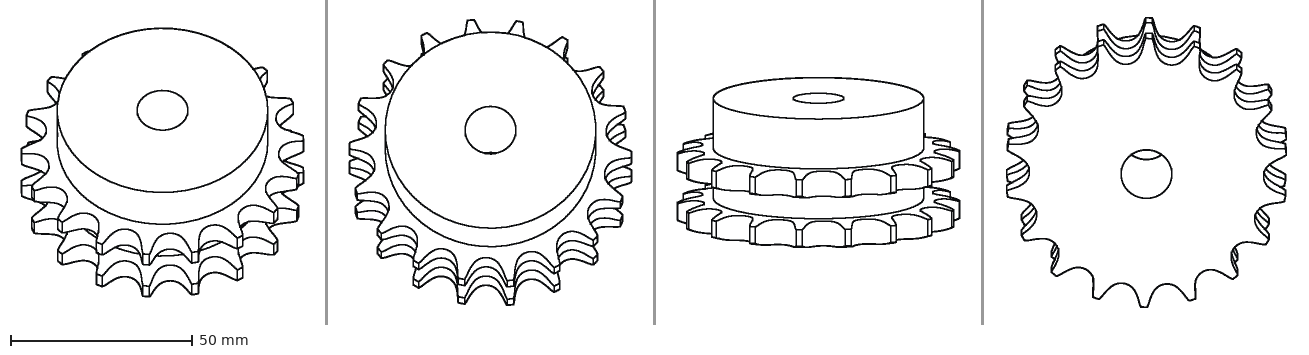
import cadquery as cq
import math


tooth_count = 18
chain_pitch = 12.7
roller_diameter = 8.5
outer_radius = 38.9
disc_thickness = 7.0
strand_spacing = 2 * disc_thickness
hub_diameter = 58.0
hub_height = 35.0
bore_diameter = 14.0
relief_start_radius = 33.1
relief_depth = 1.2
cutter_overrun = 0.8

tooth_step = 2 * math.pi / tooth_count
pitch_radius = chain_pitch / 2 / math.sin(tooth_step / 2)
seating_radius = 0.5025 * roller_diameter
working_offset = 0.8 * roller_diameter
working_radius = working_offset + seating_radius
topping_offset = 1.4 * roller_diameter
seating_end_angle = math.radians(35 + 60 / tooth_count)
working_arc_angle = math.radians(18 - 56 / tooth_count)
flank_angle = seating_end_angle - working_arc_angle


def polar(center, radius, angle):
    """Point at a given distance and angle from a center."""
    return (center[0] + radius * math.cos(angle), center[1] + radius * math.sin(angle))


def half_gap_points():
    """Right half of a tooth gap centered on +Y, from the gap bottom out to the tooth tip."""
    roller_center = (0, pitch_radius)
    bottom = (0, pitch_radius - seating_radius)
    seating_end = polar(roller_center, seating_radius, -seating_end_angle)

    working_center = polar(roller_center, -working_offset, -seating_end_angle)
    working_mid_angle = (seating_end_angle + flank_angle) / 2
    working_mid = polar(working_center, working_radius, -working_mid_angle)
    working_end = polar(working_center, working_radius, -flank_angle)

    topping_center = polar(roller_center, topping_offset, -tooth_step / 2)
    topping_radius = (topping_center[0] - working_end[0]) * math.cos(flank_angle)
    topping_radius -= (topping_center[1] - working_end[1]) * math.sin(flank_angle)
    start_angle = math.pi - flank_angle
    topping_start = polar(topping_center, topping_radius, start_angle)

    center_distance = math.hypot(*topping_center)
    toward_axis = math.pi + math.atan2(topping_center[1], topping_center[0])
    tip_cosine = center_distance**2 + topping_radius**2 - outer_radius**2
    tip_cosine /= 2 * center_distance * topping_radius
    tip_angle = toward_axis - math.acos(tip_cosine)
    topping_mid = polar(topping_center, topping_radius, (start_angle + tip_angle) / 2)
    tip = polar(topping_center, topping_radius, tip_angle)
    return {
        "bottom": bottom,
        "seating_end": seating_end,
        "working_mid": working_mid,
        "working_end": working_end,
        "topping_start": topping_start,
        "topping_mid": topping_mid,
        "tip": tip,
    }


def gap_cutter(turn_degrees):
    """Prism that clears one tooth gap, turned about the axis from +Y."""
    right = half_gap_points()
    left = {name: (-x, y) for name, (x, y) in right.items()}
    return (
        cq.Workplane("XY")
        .moveTo(*right["tip"])
        .threePointArc(right["topping_mid"], right["topping_start"])
        .lineTo(*right["working_end"])
        .threePointArc(right["working_mid"], right["seating_end"])
        .threePointArc(right["bottom"], left["seating_end"])
        .threePointArc(left["working_mid"], left["working_end"])
        .lineTo(*left["topping_start"])
        .threePointArc(left["topping_mid"], left["tip"])
        .threePointArc((0, outer_radius + cutter_overrun), right["tip"])
        .close()
        .extrude(disc_thickness)
        .rotate((0, 0, 0), (0, 0, 1), turn_degrees)
    )


def relieved_blank():
    """Round disc whose two faces curve back toward each other near the rim."""
    relief_reach = outer_radius - relief_start_radius
    relief_radius = (relief_reach**2 + relief_depth**2) / (2 * relief_depth)
    half_sweep = math.asin(relief_reach / relief_radius) / 2
    mid_radius = relief_start_radius + relief_radius * math.sin(half_sweep)
    mid_depth = relief_radius * (1 - math.cos(half_sweep))
    return (
        cq.Workplane("XZ")
        .lineTo(relief_start_radius, 0)
        .threePointArc((mid_radius, mid_depth), (outer_radius, relief_depth))
        .lineTo(outer_radius, disc_thickness - relief_depth)
        .threePointArc((mid_radius, disc_thickness - mid_depth), (relief_start_radius, disc_thickness))
        .lineTo(0, disc_thickness)
        .close()
        .revolve(360, (0, 0), (0, 1))
    )


toothed_disc = relieved_blank()
for index in range(tooth_count):
    toothed_disc = toothed_disc.cut(gap_cutter(math.degrees(index * tooth_step)))

hub = cq.Workplane("XY").circle(hub_diameter / 2).extrude(hub_height)
bore = cq.Workplane("XY").circle(bore_diameter / 2).extrude(hub_height)

result = (
    hub.union(toothed_disc)
    .union(toothed_disc.translate((0, 0, strand_spacing)))
    .cut(bore)
)